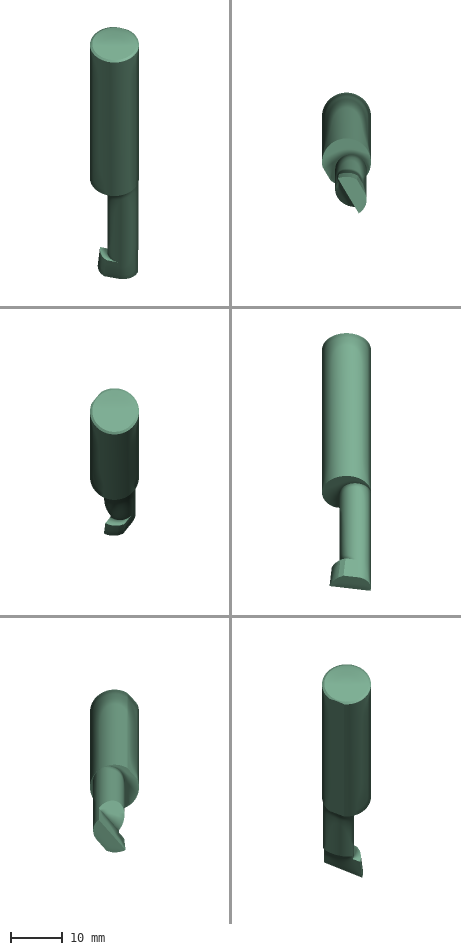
import cadquery as cq
import math

total_length = 63.5
shank_radius = 4.75
shoulder_z = 25.4
flat_y = 4.5
chamfer_radial = 0.45
chamfer_height = 0.25

neck_radius = 3.05
neck_x = shank_radius - neck_radius

relief_end_z = 6.15
relief_start_z = 9.1

head_height = 5.1
tip_x = -3.35
head_lean = 0.45
flank_mid = (-2.9, -1.35)
flank_end = (-2.15, -2.4)
heel_x = -1.3
end_angle_x = 2.0
end_angle_y = 6.0

clearance = 3.2


def make_shank():
    profile = [
        (0, shoulder_z),
        (shank_radius, shoulder_z),
        (shank_radius, total_length - chamfer_height),
        (shank_radius - chamfer_radial, total_length),
        (0, total_length),
    ]
    shank = cq.Workplane("XZ").polyline(profile).close().revolve(360, (0, 0), (0, 1))
    flat_cutter = cq.Workplane("XY").box(
        2 * shank_radius, clearance, total_length, centered=(True, False, False)
    ).translate((0, flat_y, 0))
    return shank.cut(flat_cutter)


def make_neck():
    neck = cq.Workplane("XY").center(neck_x, 0).circle(neck_radius).extrude(shoulder_z + 0.65)
    slope = (relief_start_z - relief_end_z) / neck_radius
    reach = neck_radius + clearance
    relief = (
        cq.Workplane("YZ")
        .polyline([(0, -0.65), (reach, -0.65), (reach, relief_end_z + slope * reach), (0, relief_end_z)])
        .close()
        .extrude(2 * shank_radius, both=True)
    )
    return neck.cut(relief)


def head_outline(plane, shift):
    """Head section whose flank is moved by shift along X."""
    return (
        plane.moveTo(tip_x + shift, 0)
        .threePointArc(
            (flank_mid[0] + shift, flank_mid[1]),
            (flank_end[0] + shift, flank_end[1]),
        )
        .lineTo(heel_x + shift, -neck_radius)
        .lineTo(neck_x, -neck_radius)
        .lineTo(neck_x, 0)
        .close()
    )


def make_head():
    base = head_outline(cq.Workplane("XY"), 0)
    return head_outline(base.workplane(offset=head_height), head_lean).loft(ruled=True)


def make_end_cutter():
    """Block below the sloped end plane, which passes through the cutting tip."""
    slope_x = math.tan(math.radians(end_angle_x))
    slope_y = math.tan(math.radians(end_angle_y))
    end_plane = cq.Plane(origin=(tip_x, 0, 0), xDir=(1, 0, slope_x), normal=(-slope_x, slope_y, 1))
    size = 4 * shank_radius
    return cq.Workplane(end_plane).rect(size, size).extrude(-clearance)


tool_end = make_neck().union(make_head()).cut(make_end_cutter())
result = make_shank().union(tool_end)